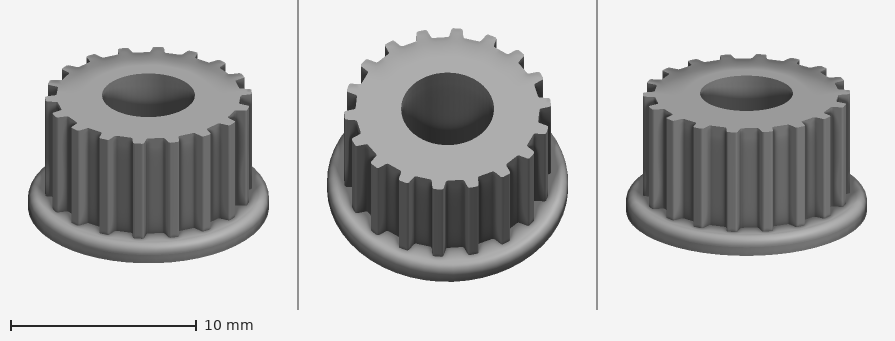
import cadquery as cq
import math

flange_diameter = 13.0
flange_height = 1.0
flange_round = flange_height / 2

total_height = 6.8
bore_diameter = 5.0
tooth_count = 18
tip_radius = 5.58
floor_radius = 4.94
floor_width = 0.94
flank_angle = 20.0
corner_round = 0.13

tooth_pitch = 360.0 / tooth_count


def make_flange():
    disc = cq.Workplane("XY").circle(flange_diameter / 2).extrude(flange_height)
    return disc.faces(">Z").edges().fillet(flange_round)


def make_groove(angle):
    """Trapezoidal tooth gap, open outward past the tooth tips, centred on the given direction."""
    mouth_radius = tip_radius + corner_round
    floor_half = floor_width / 2
    mouth_half = floor_half + (mouth_radius - floor_radius) * math.tan(math.radians(flank_angle))
    outline = [
        (floor_radius, -floor_half),
        (mouth_radius, -mouth_half),
        (mouth_radius, mouth_half),
        (floor_radius, floor_half),
    ]
    groove = cq.Workplane("XY").polyline(outline).close().extrude(total_height)
    return groove.rotate((0, 0, 0), (0, 0, 1), angle)


def make_toothed_hub():
    hub = cq.Workplane("XY").circle(tip_radius).extrude(total_height)
    for index in range(tooth_count):
        hub = hub.cut(make_groove((index + 0.5) * tooth_pitch))

    return hub.edges("|Z").fillet(corner_round)


result = make_flange().union(make_toothed_hub())
result = result.cut(cq.Workplane("XY").circle(bore_diameter / 2).extrude(total_height))